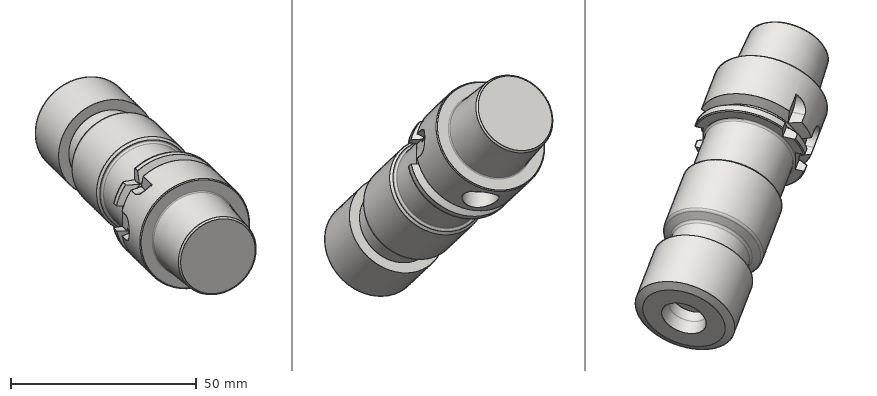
import cadquery as cq
import math

total_length = 96.0
flange_radius = 32.0 / 2

nut_radius = 28.0 / 2
nut_face_radius = 11.6
nut_chamfer_length = 1.0
nut_end = 17.5

neck_radius = 11.0
shoulder_start = 24.9
shoulder_slope = math.radians(60)
shoulder_round = 1.0
shoulder_end = 44.9
shoulder_chamfer = 0.7
shank_radius = 25.0 / 2
shank_round = 0.6

flange_start = 59.9
groove_start = 62.1
groove_floor_start = 63.5
groove_floor_end = 64.7
groove_end = 66.0
groove_radius = 13.2
body_end = 79.9
flange_chamfer = 0.3

taper_base_radius = 12.2
taper_end_radius = 11.3
taper_base_round = 0.3
taper_end_chamfer = 0.5

bore_radius = 11.0 / 2
bore_mouth_radius = 12.6 / 2
bore_cone_depth = 3.6
bore_depth = 6.9

slot_floor = 13.0
slot_end = 72.1
front_slot_width = 7.3
back_slot_width = 8.9
slot_corner_radius = 3.5
notch_offset = 9.4

data_hole_center = 73.1
data_hole_radius = 10.0 / 2
data_hole_depth = 4.6


def turned_body():
    """Revolve the stepped outer profile about the X axis."""
    shoulder_top = shoulder_start + (nut_radius - neck_radius) / math.tan(shoulder_slope)
    profile = [
        (0, 0),
        (0, nut_face_radius),
        (nut_chamfer_length, nut_radius),
        (nut_end, nut_radius),
        (nut_end, neck_radius),
        (shoulder_start, neck_radius),
        (shoulder_top, nut_radius),
        (shoulder_end - shoulder_chamfer, nut_radius),
        (shoulder_end, nut_radius - shoulder_chamfer),
        (shoulder_end, shank_radius),
        (flange_start, shank_radius),
        (flange_start, flange_radius - flange_chamfer),
        (flange_start + flange_chamfer, flange_radius),
        (groove_start, flange_radius),
        (groove_floor_start, groove_radius),
        (groove_floor_end, groove_radius),
        (groove_end, flange_radius),
        (body_end - flange_chamfer, flange_radius),
        (body_end, flange_radius - flange_chamfer),
        (body_end, taper_base_radius),
        (total_length - taper_end_chamfer, taper_end_radius),
        (total_length, taper_end_radius - taper_end_chamfer),
        (total_length, 0),
    ]
    body = cq.Workplane("XY").polyline(profile).close().revolve(360, (0, 0, 0), (1, 0, 0))

    rounds = [
        (shoulder_start, neck_radius, shoulder_round),
        (shoulder_top, nut_radius, shoulder_round),
        (shoulder_end, shank_radius, shank_round),
        (flange_start, shank_radius, shank_round),
        (body_end, taper_base_radius, taper_base_round),
    ]
    for x, radius, round_radius in rounds:
        body = body.edges(circle_at(x, radius)).fillet(round_radius)
    return body


def circle_at(x, radius):
    """Select the circular edge of the given radius in the plane at x."""
    margin = 0.01
    reach = radius + margin
    return cq.selectors.BoxSelector(
        (x - margin, -reach, -reach), (x + margin, reach, reach), boundingbox=True
    ) - cq.selectors.BoxSelector(
        (x - margin, margin - radius, margin - radius),
        (x + margin, radius - margin, radius - margin),
        boundingbox=True,
    )


def tool_bore():
    """Blind bore with a conical mouth."""
    profile = [
        (0, 0),
        (0, bore_mouth_radius),
        (bore_cone_depth, bore_radius),
        (bore_depth, bore_radius),
        (bore_depth, 0),
    ]
    return cq.Workplane("XY").polyline(profile).close().revolve(360, (0, 0, 0), (1, 0, 0))


def slot_cutter(bottom, top, corner_radius, y_start, y_end):
    """Block open toward the nose, with its two inner corners rounded."""
    block = cq.Workplane("XY").box(
        slot_end - flange_start, y_end - y_start, top - bottom, centered=False
    )
    block = block.translate((flange_start, y_start, bottom))
    return block.edges(">X and |Y").fillet(corner_radius)


def front_slot():
    """Driver slot on the -Y side, ending in a full half round."""
    half_width = front_slot_width / 2
    slot_length = slot_end - flange_start + half_width
    return (
        cq.Workplane("XZ", origin=(slot_end - slot_length / 2, -slot_floor, 0))
        .slot2D(slot_length, front_slot_width)
        .extrude(flange_radius - slot_floor)
    )


def back_slot():
    """Wider driver slot on the +Y side, ending in a flat between two rounded corners."""
    half_width = back_slot_width / 2
    return slot_cutter(-half_width, half_width, slot_corner_radius, slot_floor, flange_radius)


def orientation_notch():
    """Square-cornered notch at the -Y, +Z edge of the flange."""
    top = notch_offset + 2 * flange_radius
    return slot_cutter(notch_offset, top, slot_corner_radius, -flange_radius, -notch_offset)


def data_carrier_hole():
    """Blind hole entering from the -Z side."""
    return (
        cq.Workplane("XY", origin=(data_hole_center, 0, -flange_radius))
        .circle(data_hole_radius)
        .extrude(data_hole_depth)
    )


result = (
    turned_body()
    .cut(tool_bore())
    .cut(front_slot())
    .cut(back_slot())
    .cut(orientation_notch())
    .cut(data_carrier_hole())
)